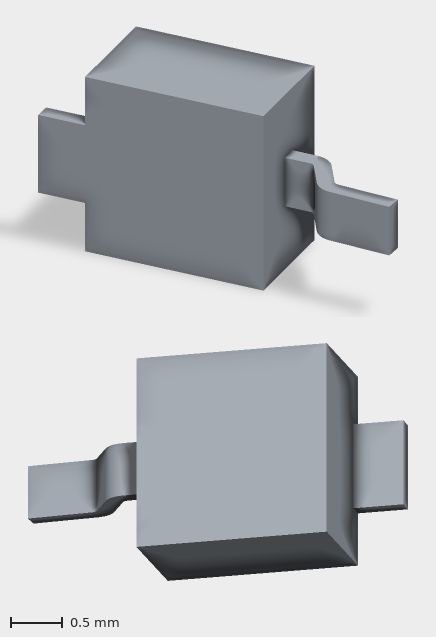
import cadquery as cq
import math

TOTAL_LENGTH = 3.75
HOUSING_SIDE = 1.9
HOUSING_DEPTH = 1.15
HOUSING_LEFT = 0.5
HOUSING_RIGHT = HOUSING_LEFT + HOUSING_SIDE

INSERT_LEFT = 0.622
INSERT_BASE = 1.365
INSERT_DEPTH = 0.398
INSERT_DRAFT = 15.0
INSERT_CORNER_RADIUS = 0.1

METAL_THICKNESS = 0.172
TAB_WIDTH = 0.848
LEAD_WIDTH = 0.53

LEAD_TOP = 0.66
KNEE_X = 2.752
SLOPE_ANGLE = 60.0
FOOT_ANGLE = 3.0
BEND_INNER_RADIUS = 0.075


def insert_body():
    """Full-height trapezoid prism with rounded inner corners."""
    taper = INSERT_DEPTH * math.tan(math.radians(INSERT_DRAFT))
    right = INSERT_LEFT + INSERT_BASE
    outline = [
        (INSERT_LEFT, 0),
        (right, 0),
        (right - taper, INSERT_DEPTH),
        (INSERT_LEFT + taper, INSERT_DEPTH),
    ]
    prism = cq.Workplane("XY").polyline(outline).close().extrude(HOUSING_SIDE / 2, both=True)
    return prism.edges("|Z").edges(">Y").fillet(INSERT_CORNER_RADIUS)


def tab_body(insert):
    """Flat tab that runs through the housing wall up to the insert."""
    reach = INSERT_LEFT + INSERT_BASE / 2
    plate = cq.Workplane("XY").box(reach, METAL_THICKNESS, TAB_WIDTH, centered=(False, False, True))
    return plate.cut(insert)


def housing_body(insert, tab):
    """Square block with recesses that match the insert and the tab."""
    block = (
        cq.Workplane("XY")
        .box(HOUSING_SIDE, HOUSING_DEPTH, HOUSING_SIDE, centered=(False, False, True))
        .translate((HOUSING_LEFT, 0, 0))
    )
    return block.cut(insert).cut(tab)


def lead_body():
    """Strip bent down a slope to a slightly tilted foot, butted against the housing."""
    slope = math.radians(SLOPE_ANGLE)
    foot = math.radians(FOOT_ANGLE)
    half = METAL_THICKNESS / 2
    bend_radius = BEND_INNER_RADIUS + half

    run_y = LEAD_TOP - half
    toe_x = TOTAL_LENGTH - half * math.sin(foot)
    toe_y = half * math.cos(foot)
    drop = run_y - toe_y - (toe_x - KNEE_X) * math.tan(foot)
    ankle_x = KNEE_X + drop / (math.tan(slope) - math.tan(foot))
    ankle_y = run_y - (ankle_x - KNEE_X) * math.tan(slope)

    knee_setback = bend_radius * math.tan(slope / 2)
    ankle_setback = bend_radius * math.tan((slope - foot) / 2)
    slope_dir = (math.cos(slope), -math.sin(slope))
    foot_dir = (math.cos(foot), -math.sin(foot))

    def along(x, y, direction, distance):
        return (x + direction[0] * distance, y + direction[1] * distance)

    knee_start = (KNEE_X - knee_setback, run_y)
    knee_end = along(KNEE_X, run_y, slope_dir, knee_setback)
    ankle_start = along(ankle_x, ankle_y, slope_dir, -ankle_setback)
    ankle_end = along(ankle_x, ankle_y, foot_dir, ankle_setback)

    def offset(point, angle, distance):
        """Shift a centreline point to the upper (+) or lower (-) face."""
        return (point[0] + distance * math.sin(angle), point[1] + distance * math.cos(angle))

    knee_centre = offset(knee_start, 0, -bend_radius)
    ankle_centre = offset(ankle_end, foot, bend_radius)
    mid_knee = slope / 2
    mid_ankle = (slope + foot) / 2

    profile = (
        cq.Workplane("XY")
        .moveTo(HOUSING_RIGHT, run_y + half)
        .lineTo(*offset(knee_start, 0, half))
        .threePointArc(offset(knee_centre, mid_knee, bend_radius + half), offset(knee_end, slope, half))
        .lineTo(*offset(ankle_start, slope, half))
        .threePointArc(offset(ankle_centre, mid_ankle, half - bend_radius), offset(ankle_end, foot, half))
        .lineTo(*offset((toe_x, toe_y), foot, half))
        .lineTo(*offset((toe_x, toe_y), foot, -half))
        .lineTo(*offset(ankle_end, foot, -half))
        .threePointArc(offset(ankle_centre, mid_ankle, -half - bend_radius), offset(ankle_start, slope, -half))
        .lineTo(*offset(knee_end, slope, -half))
        .threePointArc(offset(knee_centre, mid_knee, bend_radius - half), offset(knee_start, 0, -half))
        .lineTo(HOUSING_RIGHT, run_y - half)
        .close()
    )
    return profile.extrude(LEAD_WIDTH / 2, both=True)


insert = insert_body()
tab = tab_body(insert)
housing = housing_body(insert, tab)
lead = lead_body()

result = cq.Compound.makeCompound([housing.val(), insert.val(), tab.val(), lead.val()])